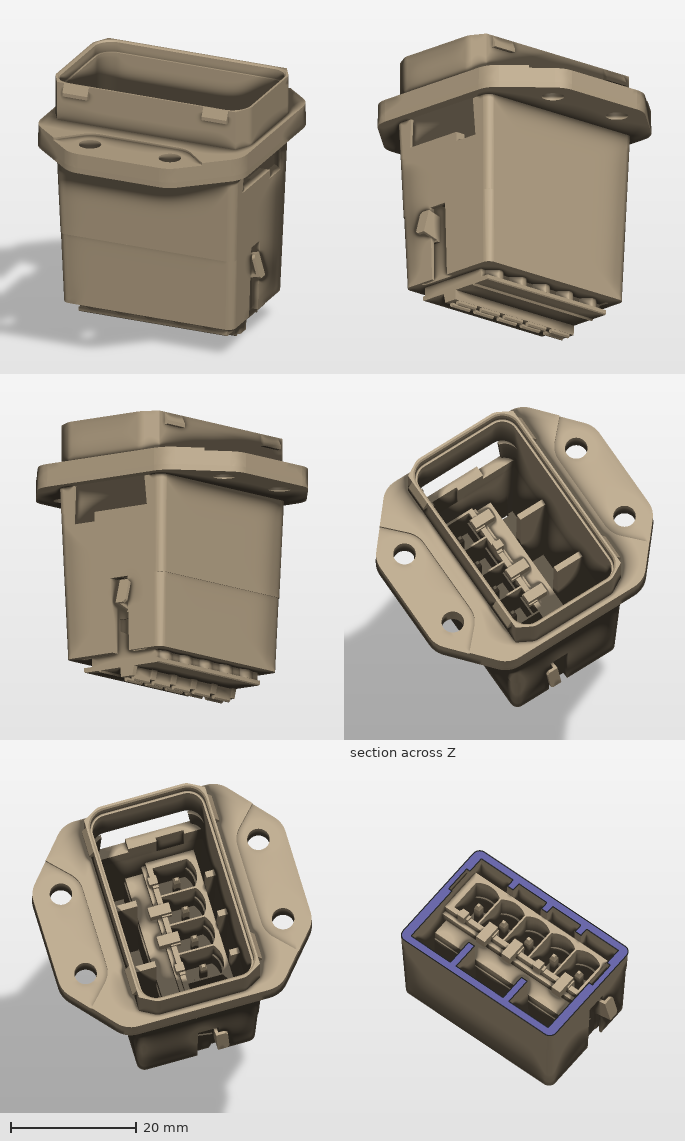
import cadquery as cq
import math


RIM_TOP = 6.5
FLANGE_BOTTOM = -3.7
FLANGE_PARTING = -2.8
SHELL_STEP = -19.45
SHELL_BOTTOM = -31.45
PLATE_TOP = -32.8
PLATE_BOTTOM = -33.55
BAR_BOTTOM = -35.15
FOOT_BOTTOM = RIM_TOP - 42.3

FLANGE_X = 36.2
FLANGE_Y = 42.0
FLANGE_CUT_X = 9.43
FLANGE_CUT_Y = 8.1
FLANGE_ROUND = 4.23
FLANGE_DRAFT = 1.5
RECESS_DEPTH = 0.42
RECESS_INNER_Y = 12.85
RECESS_INNER_X = 8.37
RECESS_OUTER_X = 13.0
RECESS_OUTER_Y = 17.2
HOLE_DIAMETER = 3.6
HOLE_X = 6.98
HOLE_Y = 16.4

RIM_HALF_X = 17.1
RIM_HALF_Y = 10.05
RIM_CUT_X = 1.52
RIM_CUT_Y = 2.7
RIM_ROUND = 2.1
RIM_BORE_X = 32.15
RIM_BORE_Y = 18.25
BORE_ROUND = 2.55
MOUTH_FLARE = 0.65
MOUTH_FLARE_DEPTH = 0.42
MOUTH_STEP = 0.4
MOUTH_STEP_DEPTH = 1.9
LATCH_INNER_X = 9.98
LATCH_OUTER_X = 14.35
LATCH_TIP_Y = 10.8
LATCH_TIP_TOP = 5.07
LATCH_BOTTOM = 4.5

SHELL_TOP_X = 31.7
SHELL_TOP_Y = 21.55
SHELL_BOTTOM_X = 29.85
SHELL_BOTTOM_Y = 19.7
SHELL_ROUND = 1.25
STEP_OFFSET = 0.13
UPPER_BORE_X = 30.85
INNER_HALF_X = 13.85
INNER_BOTTOM_HALF_X = 13.28
INNER_BOTTOM_Y = 16.75
INNER_DRAFT_TOP = -13.1
FLOOR_THICKNESS = 1.25
GAP_OUTER_X = -13.55

SILL = -8.37
DEEP_SILL = -9.9
SILL_STEP_Y = 3.15
WINDOW_TOP_Y = 7.2
WINDOW_BOTTOM_Y = 7.55
SLOT_MAX_Y = 0.15
SLOT_MIN_Y = -3.3
GROOVE_X = 14.5
GROOVE_MIN_Y = -6.15
GROOVE_MAX_Y = -1.52

CLIP_MAX_Y = -2.55
CLIP_WEB = 0.5
CLIP_PAD_MIN_Y = -4.5
CLIP_TOP = (16.3, -20.2)
CLIP_TIP = (17.4, -24.05)
CLIP_SHEET = 0.5
CLIP_ROOT_X = 13.65
CLIP_CORNER = 0.42

PITCH = 5.07
POLES = [-2, -1, 0, 1, 2]
HEADER_HALF_X = 12.95
HEADER_FRONT_Y = -7.6
HEADER_STEP_Y = 0.42
HEADER_MID_Y = 1.1
HEADER_BACK_Y = 3.97
HEADER_TOP = -16.9
HEADER_MID_TOP = -18.2
HEADER_BACK_TOP = -19.45
CUP_WIDTH = 4.78
CUP_BACK_Y = -0.42
CUP_SHOULDER_Y = -6.15
CUP_FRONT_Y = -6.98
CUP_LEDGE = 0.3
CUP_LEDGE_TOP = -21.15
CUP_FLOOR = -25.35
PIN_Y = -3.7
PIN_BOSS_DIAMETER = 2.9
PIN_BOSS_HEIGHT = 0.85
BOSS_FLAT = 0.65
PIN_WIDTH = 1.05
PIN_TIP_WIDTH = 0.5
PIN_TOP = -18.2
KEYED_POLES = [-2, 0, 1]


def block(x0, x1, y0, y1, z0, z1):
    """Box given by its limits along each axis."""
    box = cq.Workplane("XY").box(x1 - x0, y1 - y0, z1 - z0, centered=False)
    return box.translate((x0, y0, z0))


def rounded_prism(length, width, radius, z0, z1):
    """Upright prism with rounded corners."""
    prism = cq.Workplane("XY").workplane(offset=z0).rect(length, width).extrude(z1 - z0)
    return prism.edges("|Z").fillet(radius)


def tapered_prism(top_size, bottom_size, z_top, z_bottom, radius=0.0):
    """Prism whose rectangular section changes evenly from top to bottom."""
    prism = (
        cq.Workplane("XY").workplane(offset=z_top).rect(*top_size)
        .workplane(offset=z_bottom - z_top).rect(*bottom_size)
        .loft(ruled=True)
    )
    if radius:
        prism = prism.edges("not (#Z)").fillet(radius)
    return prism


def cut_corner_outline(half_x, half_y, cut_x, cut_y):
    """Corner points of a rectangle whose corners are cut off."""
    quarter = [(half_x, half_y - cut_y), (half_x - cut_x, half_y)]
    upper = quarter + [(-x, y) for x, y in reversed(quarter)]
    return upper + [(-x, -y) for x, y in upper]


def both_sides(solid, plane):
    """A solid together with its mirror image."""
    return solid.union(solid.mirror(plane))


def make_flange():
    outline = cut_corner_outline(FLANGE_X / 2, FLANGE_Y / 2, FLANGE_CUT_X, FLANGE_CUT_Y)
    lower = (
        cq.Workplane("XY").workplane(offset=FLANGE_BOTTOM)
        .polyline(outline).close().extrude(FLANGE_PARTING - FLANGE_BOTTOM)
        .edges("|Z").fillet(FLANGE_ROUND)
    )
    upper = (
        lower.faces(">Z").wires().toPending()
        .workplane().extrude(-FLANGE_PARTING, taper=FLANGE_DRAFT, combine=False)
    )
    flange = lower.union(upper)

    run_x = 2 * (RECESS_OUTER_X - RECESS_INNER_X)
    run_y = 2 * (RECESS_OUTER_Y - RECESS_INNER_Y)
    recess = (
        cq.Workplane("XY").workplane(offset=-RECESS_DEPTH)
        .polyline([
            (-RECESS_INNER_X, RECESS_INNER_Y),
            (RECESS_INNER_X, RECESS_INNER_Y),
            (RECESS_INNER_X + run_x, RECESS_INNER_Y + run_y),
            (-RECESS_INNER_X - run_x, RECESS_INNER_Y + run_y),
        ]).close().extrude(RECESS_DEPTH)
        .edges("|Z and <Y").fillet(FLANGE_ROUND)
    )
    holes = (
        cq.Workplane("XY").workplane(offset=FLANGE_BOTTOM)
        .rect(2 * HOLE_X, 2 * HOLE_Y, forConstruction=True).vertices()
        .circle(HOLE_DIAMETER / 2).extrude(-FLANGE_BOTTOM)
    )
    return flange.cut(both_sides(recess, "XZ")).cut(holes)


def make_rim():
    outline = cut_corner_outline(RIM_HALF_X, RIM_HALF_Y, RIM_CUT_X, RIM_CUT_Y)
    rim = (
        cq.Workplane("XY").polyline(outline).close().extrude(RIM_TOP)
        .edges("|Z and (>X or <X)").fillet(RIM_ROUND)
    )
    root_y = RIM_HALF_Y - 0.42
    latch = (
        cq.Workplane("YZ").workplane(offset=LATCH_INNER_X)
        .polyline([
            (root_y, RIM_TOP),
            (RIM_HALF_Y, RIM_TOP),
            (LATCH_TIP_Y, LATCH_TIP_TOP),
            (LATCH_TIP_Y, LATCH_BOTTOM),
            (root_y, LATCH_BOTTOM),
        ]).close().extrude(LATCH_OUTER_X - LATCH_INNER_X)
    )
    return rim.union(both_sides(both_sides(latch, "YZ"), "XZ"))


def make_rim_bore():
    bore = rounded_prism(RIM_BORE_X, RIM_BORE_Y, BORE_ROUND, FLANGE_BOTTOM, RIM_TOP)
    mouth = rounded_prism(
        RIM_BORE_X + 2 * MOUTH_STEP, RIM_BORE_Y + 2 * MOUTH_STEP, BORE_ROUND + MOUTH_STEP,
        RIM_TOP - MOUTH_STEP_DEPTH, RIM_TOP,
    )
    rim_edge = rounded_prism(
        RIM_BORE_X + 2 * MOUTH_FLARE, RIM_BORE_Y + 2 * MOUTH_FLARE, BORE_ROUND + MOUTH_FLARE,
        RIM_TOP - MOUTH_FLARE_DEPTH, RIM_TOP,
    )
    flare = (
        rim_edge.faces(">Z").wires().toPending()
        .workplane().extrude(-MOUTH_FLARE_DEPTH, taper=45, combine=False)
    )
    return bore.union(mouth).union(flare)


def shell_size_at(z):
    """Outer X and Y size of the shell at a height."""
    fraction = (FLANGE_BOTTOM - z) / (FLANGE_BOTTOM - SHELL_BOTTOM)
    return (
        SHELL_TOP_X + fraction * (SHELL_BOTTOM_X - SHELL_TOP_X),
        SHELL_TOP_Y + fraction * (SHELL_BOTTOM_Y - SHELL_TOP_Y),
    )


def make_shell():
    step_x, step_y = shell_size_at(SHELL_STEP)
    upper = tapered_prism(
        (SHELL_TOP_X, SHELL_TOP_Y), (step_x, step_y), FLANGE_BOTTOM, SHELL_STEP, SHELL_ROUND
    )
    lower = tapered_prism(
        (step_x, step_y - STEP_OFFSET), (SHELL_BOTTOM_X, SHELL_BOTTOM_Y - STEP_OFFSET),
        SHELL_STEP, SHELL_BOTTOM, SHELL_ROUND,
    ).translate((0, STEP_OFFSET / 2, 0))
    return upper.union(lower)


def make_shell_cavity():
    upper = rounded_prism(UPPER_BORE_X, RIM_BORE_Y, BORE_ROUND, SILL, FLANGE_BOTTOM)
    deep_corner = rounded_prism(UPPER_BORE_X, RIM_BORE_Y, BORE_ROUND, DEEP_SILL, SILL)
    deep_corner = deep_corner.intersect(
        block(-UPPER_BORE_X, UPPER_BORE_X, SILL_STEP_Y, RIM_BORE_Y, DEEP_SILL, SILL)
    )
    middle_size = (2 * INNER_HALF_X, RIM_BORE_Y)
    floor_size = (2 * INNER_BOTTOM_HALF_X, INNER_BOTTOM_Y)
    middle = tapered_prism(middle_size, middle_size, SILL, INNER_DRAFT_TOP)
    lower = tapered_prism(middle_size, floor_size, INNER_DRAFT_TOP, SHELL_BOTTOM + FLOOR_THICKNESS)
    return upper.union(deep_corner).union(middle).union(lower)


def make_windows():
    """Stepped side openings just under the flange, through both side walls."""
    return (
        cq.Workplane("YZ").workplane(offset=-FLANGE_X / 2)
        .polyline([
            (-WINDOW_TOP_Y, FLANGE_BOTTOM),
            (WINDOW_TOP_Y, FLANGE_BOTTOM),
            (WINDOW_BOTTOM_Y, DEEP_SILL),
            (SILL_STEP_Y, DEEP_SILL),
            (SILL_STEP_Y, SILL),
            (-WINDOW_BOTTOM_Y, SILL),
        ]).close().extrude(FLANGE_X)
    )


def make_side_openings():
    """Slot for the clip, and the guide groove inside each side wall."""
    slot = block(-FLANGE_X / 2, -HEADER_HALF_X, SLOT_MIN_Y, SLOT_MAX_Y, SHELL_BOTTOM, SHELL_STEP)
    groove = block(-GROOVE_X, -INNER_HALF_X, GROOVE_MIN_Y, GROOVE_MAX_Y, SHELL_BOTTOM, SILL)
    openings = both_sides(slot.union(groove), "YZ")
    gap_half_y = 7.5
    gap = block(GAP_OUTER_X, -HEADER_HALF_X, -gap_half_y, gap_half_y, SHELL_BOTTOM, SILL)
    return openings.union(gap)


def make_wall_ribs():
    """Upright ribs on the front and back inner walls, thicker toward the floor."""
    top_width = 1.0
    floor_width = 2.05
    rib_top = -10.15
    wall_y = RIM_BORE_Y / 2
    back_end_y = HEADER_BACK_Y + 0.35
    back_reach = wall_y - back_end_y
    front_reach = wall_y + HEADER_FRONT_Y
    places = [(x, back_end_y + back_reach / 2, back_reach) for x in (-5.33, 5.33)]
    places += [(x, HEADER_FRONT_Y - front_reach / 2, front_reach) for x in (-6.85, 0.0, 6.85)]
    ribs = cq.Workplane("XY")
    for x, y, reach in places:
        rib = tapered_prism((top_width, reach), (floor_width, reach), rib_top, SHELL_BOTTOM)
        ribs = ribs.union(rib.translate((x, y, 0)))
    return ribs


def make_clips():
    """Sheet clips: a foot in the wall groove, a web through the slot and a pad at its outer edge."""
    slope_x = CLIP_TIP[0] - CLIP_TOP[0]
    slope_z = CLIP_TIP[1] - CLIP_TOP[1]
    length = math.hypot(slope_x, slope_z)
    inward_x = slope_z / length
    inward_z = -slope_x / length

    def inward(point, distance):
        return (point[0] + inward_x * distance, point[1] + inward_z * distance)

    def inward_to_root(point):
        return inward(point, (CLIP_ROOT_X - point[0]) / inward_x)

    def sheet(points, width):
        start = cq.Workplane("XZ", origin=(0, CLIP_MAX_Y, 0))
        return start.polyline(points).close().extrude(width)

    root_top = inward_to_root(CLIP_TOP)
    root_bottom = inward_to_root(CLIP_TIP)
    web = sheet([CLIP_TOP, CLIP_TIP, root_bottom, root_top], CLIP_WEB)
    pad = sheet(
        [CLIP_TOP, CLIP_TIP, inward(CLIP_TIP, CLIP_SHEET), inward(CLIP_TOP, CLIP_SHEET)],
        CLIP_MAX_Y - CLIP_PAD_MIN_Y,
    )
    outer_normal = cq.Vector(inward_x, 0, inward_z)
    pad = pad.edges("<Y").edges(cq.selectors.ParallelDirSelector(outer_normal)).chamfer(CLIP_CORNER)

    slope_end = root_top[1] + (GROOVE_X - CLIP_ROOT_X) * slope_z / slope_x
    foot = sheet(
        [root_top, (GROOVE_X, slope_end), (GROOVE_X, root_bottom[1]), root_bottom],
        CLIP_MAX_Y - GROOVE_MIN_Y,
    )
    return both_sides(web.union(pad).union(foot), "YZ")


def make_header_body():
    side = HEADER_HALF_X
    body = block(-side, INNER_HALF_X, HEADER_FRONT_Y, HEADER_STEP_Y, SHELL_BOTTOM, HEADER_TOP)
    body = body.union(block(
        -side, INNER_HALF_X, HEADER_STEP_Y, HEADER_MID_Y, SHELL_BOTTOM, HEADER_MID_TOP
    ))
    body = body.union(block(
        -side, side, HEADER_MID_Y, HEADER_BACK_Y, SHELL_BOTTOM, HEADER_BACK_TOP
    ))
    ledge_depth = 0.2
    ledge_top = -21.15
    body = body.union(block(
        -side, side, HEADER_BACK_Y, HEADER_BACK_Y + ledge_depth, SHELL_BOTTOM, ledge_top
    ))
    relief_top = -25.85
    relief_back_bottom = -27.7
    relief_front_bottom = -29.17
    relief_depth = 0.25
    relief = (
        cq.Workplane("YZ").workplane(offset=-side)
        .polyline([
            (SLOT_MAX_Y, relief_top),
            (SLOT_MAX_Y, relief_back_bottom),
            (SLOT_MIN_Y, relief_front_bottom),
            (SLOT_MIN_Y, relief_top),
        ]).close().extrude(relief_depth)
    )
    return body.cut(relief)


def make_cup(x):
    """Pin cup with a curved front wall that steps in partway down."""
    half = CUP_WIDTH / 2

    def section(inset, bottom, top):
        return (
            cq.Workplane("XY").workplane(offset=bottom)
            .moveTo(x - half, CUP_BACK_Y - inset).lineTo(x + half, CUP_BACK_Y - inset)
            .lineTo(x + half, CUP_SHOULDER_Y + inset)
            .threePointArc((x, CUP_FRONT_Y + inset), (x - half, CUP_SHOULDER_Y + inset))
            .close().extrude(top - bottom)
        )

    mouth = section(0, CUP_LEDGE_TOP, HEADER_TOP)
    return mouth.union(section(CUP_LEDGE, CUP_FLOOR, CUP_LEDGE_TOP))


def make_pin(x, flat_boss):
    """Square pin on a round boss; the boss may have a flat on its -X side."""
    boss = (
        cq.Workplane("XY").workplane(offset=CUP_FLOOR).center(x, PIN_Y)
        .circle(PIN_BOSS_DIAMETER / 2).extrude(PIN_BOSS_HEIGHT)
    )
    if flat_boss:
        radius = PIN_BOSS_DIAMETER / 2
        boss = boss.cut(block(
            x - radius, x - BOSS_FLAT, PIN_Y - radius, PIN_Y + radius,
            CUP_FLOOR, CUP_FLOOR + PIN_BOSS_HEIGHT,
        ))
    taper_height = 0.85
    pin = (
        cq.Workplane("XY").workplane(offset=CUP_FLOOR).center(x, PIN_Y)
        .rect(PIN_WIDTH, PIN_WIDTH).extrude(PIN_TOP - taper_height - CUP_FLOOR)
    )
    tip = tapered_prism(
        (PIN_TIP_WIDTH, PIN_TIP_WIDTH), (PIN_WIDTH, PIN_WIDTH), PIN_TOP, PIN_TOP - taper_height
    ).translate((x, PIN_Y, 0))
    return boss.union(pin).union(tip)


def make_key(x, keyed):
    """Coding key over the back edge of a cup: long on keyed poles, short on the rest."""
    base_width = 2.1
    base_height = 0.42
    stem_height = 1.25
    if keyed:
        back_y, front_y, stem_width = 2.33, -1.2, 1.7
    else:
        back_y, front_y, stem_width = 0.95, -0.5, 1.25
    base = block(
        x - base_width / 2, x + base_width / 2, front_y, HEADER_STEP_Y,
        HEADER_TOP - base_height, HEADER_TOP + base_height,
    )
    stem = block(
        x - stem_width / 2, x + stem_width / 2, front_y, back_y,
        HEADER_TOP - base_height, HEADER_TOP + stem_height,
    )
    return base.union(stem)


def make_header_base():
    """Underside of the header: bumped neck, plate, cross bar and pole feet."""
    side = HEADER_HALF_X
    plate_half_y = 7.53
    plate_chamfer = 0.15
    neck_front_y = -7.0
    neck_back_y = 5.95
    base = block(-side, side, neck_front_y, neck_back_y, PLATE_TOP, SHELL_BOTTOM)
    plate = block(-side, side, -plate_half_y, plate_half_y, PLATE_BOTTOM, PLATE_TOP)
    base = base.union(plate.faces("<Z").edges("|X").chamfer(plate_chamfer))

    ridge_y = 4.25
    ridge_size = 0.3
    ridge = (
        cq.Workplane("YZ").workplane(offset=-side)
        .polyline([
            (ridge_y - ridge_size, PLATE_BOTTOM),
            (ridge_y + ridge_size, PLATE_BOTTOM),
            (ridge_y, PLATE_BOTTOM - ridge_size),
        ]).close().extrude(2 * side)
    )
    bar_top_front_y = -2.7
    bar_bottom_front_y = -2.33
    bar_top_back_y = 0.1
    bar_bottom_back_y = 0.0
    bar = (
        cq.Workplane("YZ").workplane(offset=-side)
        .polyline([
            (bar_top_back_y, PLATE_BOTTOM),
            (bar_bottom_back_y, BAR_BOTTOM),
            (bar_bottom_front_y, BAR_BOTTOM),
            (bar_top_front_y, PLATE_BOTTOM),
        ]).close().extrude(2 * side)
    )

    bump_half = 1.65
    bump_crest = 0.2
    pole_width = 3.9
    pole_front_y = -2.15
    foot_width = 0.68
    back_foot_y = -0.7
    foot_chamfer = 0.25

    def bump(x, neck_y, crest_y):
        start_x = x - bump_half
        crest_x = x + bump_crest
        turn = math.radians(45)
        middle = (
            crest_x - (crest_x - start_x) * math.cos(turn),
            neck_y + (crest_y - neck_y) * math.sin(turn),
        )
        return (
            cq.Workplane("XY").workplane(offset=PLATE_TOP)
            .moveTo(start_x, neck_y)
            .threePointArc(middle, (crest_x, crest_y))
            .lineTo(x + bump_half, neck_y)
            .close().extrude(SHELL_BOTTOM - PLATE_TOP)
        )

    for index in POLES:
        x = index * PITCH
        base = base.union(bump(x, neck_front_y, -plate_half_y))
        base = base.union(bump(x, neck_back_y, plate_half_y))
        left = x - pole_width / 2
        right = x + pole_width / 2
        bar = bar.cut(block(left, right, bar_top_front_y, pole_front_y, BAR_BOTTOM, PLATE_BOTTOM))
        for foot_min_y in [pole_front_y, back_foot_y]:
            foot = block(left, right, foot_min_y, foot_min_y + foot_width, FOOT_BOTTOM, BAR_BOTTOM)
            bar = bar.union(foot.faces("<Z").edges("|X").chamfer(foot_chamfer))
    return base.union(ridge).union(bar)


def make_header():
    header = make_header_body()
    for index in POLES:
        header = header.cut(make_cup(index * PITCH))
    for index in POLES:
        header = header.union(make_pin(index * PITCH, index == POLES[0]))
        header = header.union(make_key(index * PITCH, index in KEYED_POLES))
    return header.union(make_header_base())


housing = make_flange().union(make_rim()).union(make_shell())
housing = housing.cut(make_rim_bore()).cut(make_shell_cavity())
housing = housing.union(make_wall_ribs())
housing = housing.cut(make_windows()).cut(make_side_openings())

result = housing.union(make_header()).union(make_clips())